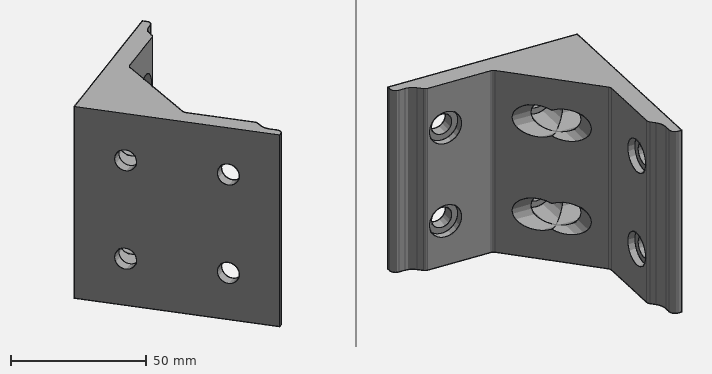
import cadquery as cq
import math

leg_length = 80.0
height = 78.0
leg_thickness = 8.0

web_reach = 40.0
web_blend_radius = 2.0

tip_thickness = 4.0
tip_radius = 2.5
cove_start = 5.0
cove_radius = 6.0
shoulder_end = 12.5
shoulder_radius = 2.0

hole_diameter = 8.5
counterbore_diameter = 13.5
seat_thickness = 5.0
hole_pitch = 40.0
hole_distances = (leg_length / 2 - hole_pitch / 2, leg_length / 2 + hole_pitch / 2)
hole_heights = (height / 2 - hole_pitch / 2, height / 2 + hole_pitch / 2)


def arc_point(center, radius, degrees):
    angle = math.radians(degrees)
    return (center[0] + radius * math.cos(angle), center[1] + radius * math.sin(angle))


def make_leg():
    """Leg along X with a rounded tip, a concave cove and a convex shoulder."""
    tip_center = (leg_length - tip_radius, tip_thickness - tip_radius)
    cove_center = (leg_length - cove_start, tip_thickness + cove_radius)
    shoulder_center = (leg_length - shoulder_end, leg_thickness - shoulder_radius)
    return (
        cq.Workplane("XY")
        .lineTo(leg_length, 0)
        .lineTo(*arc_point(tip_center, tip_radius, 0))
        .threePointArc(arc_point(tip_center, tip_radius, 45), arc_point(tip_center, tip_radius, 90))
        .lineTo(*arc_point(cove_center, cove_radius, 270))
        .threePointArc(
            arc_point(cove_center, cove_radius, 247.5),
            arc_point(cove_center, cove_radius, 225),
        )
        .lineTo(*arc_point(shoulder_center, shoulder_radius, 45))
        .threePointArc(
            arc_point(shoulder_center, shoulder_radius, 67.5),
            arc_point(shoulder_center, shoulder_radius, 90),
        )
        .lineTo(0, leg_thickness)
        .close()
        .extrude(height)
    )


def mirror_to_other_leg(shape):
    """Swap X and Y by mirroring in the plane that bisects the corner."""
    return shape.rotate((0, 0, 0), (0, 0, 1), 90).mirror("YZ")


def make_web():
    return (
        cq.Workplane("XY")
        .lineTo(web_reach, 0)
        .lineTo(web_reach, leg_thickness)
        .lineTo(leg_thickness, web_reach)
        .lineTo(0, web_reach)
        .close()
        .extrude(height)
    )


def make_hole_cutters():
    """Counterbored holes running in +Y through the leg that lies along X."""
    places = [(x, -z) for x in hole_distances for z in hole_heights]
    outer_face = cq.Workplane("XZ").transformed(rotate=(180, 0, 0))
    holes = outer_face.pushPoints(places).circle(hole_diameter / 2).extrude(leg_length)
    counterbores = (
        outer_face.workplane(offset=seat_thickness)
        .pushPoints(places)
        .circle(counterbore_diameter / 2)
        .extrude(leg_length)
    )
    return holes.union(counterbores)


leg = make_leg()
body = leg.union(mirror_to_other_leg(leg)).union(make_web()).clean()

edge_margin = 0.8
web_corners = cq.selectors.BoxSelector(
    (leg_thickness - edge_margin, leg_thickness - edge_margin, 0),
    (web_reach + edge_margin, web_reach + edge_margin, height),
)
body = body.edges("|Z").edges(web_corners).fillet(web_blend_radius)

cutters = make_hole_cutters()
result = body.cut(cutters).cut(mirror_to_other_leg(cutters))